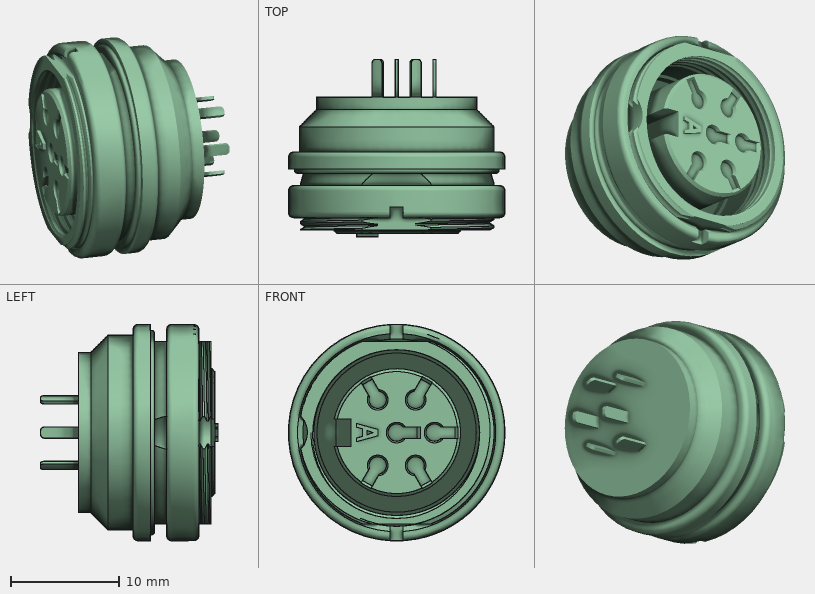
import cadquery as cq
import math


THREAD_R = 9.0
THREAD_END_Y = 4.25
NECK_R = 8.7
FLANGE_R = 10.0
FLANGE_Y = (5.6, 7.2)
BODY_R = 9.0
TAPER_Y = (9.5, 11.1)
REAR_R = 7.4
REAR_Y = 12.25
EDGE_FILLET = 0.5

PITCH = 0.75
OUTER_ROOT_R = 8.6
INNER_ROOT_R = 7.92
OUTER_THREAD_START_Y = -0.83
INNER_THREAD_START_Y = -0.97
OUTER_THREAD_TURNS = 3
INNER_THREAD_TURNS = 6
GROOVE_HALF_ANGLE = math.radians(30)
GROOVE_ROOT_HALF_WIDTH = PITCH / 12
GROOVE_OVERRUN = 0.05

FLAT_Z = 8.42
KEY_GROOVE_R = 2.1
KEY_GROOVE_X = -10.34

SOCKET_R = 15.3 / 2
SOCKET_INNER_R = 14.7 / 2
SOCKET_STEP_Y = 6.2
SOCKET_FLOOR_Y = 7.0

SEAL_R = 18.9 / 2
SEAL_FRONT_Y = 5.22
SEAL_FILLET = 0.3

NUT_R = 10.0
NUT_BORE_R = 8.65
NUT_CHAMFER_R = 18.3 / 2
NUT_Y = (1.12, 4.1)
NOTCH_WIDTH = 1.2
NOTCH_DEPTH = 1.0

INSERT_R = 5.9
INSERT_FACE_Y = -0.35
INSERT_CHAMFER = 0.27
KEYWAY_WIDTH = 2.54
KEYWAY_BOTTOM_X = -4.2
KEYWAY_SHELF_X = -5.6
KEYWAY_SHELF_Y = SOCKET_FLOOR_Y - 0.3

CONTACT_CIRCLE_R = 3.5
CONTACT_ANGLES = (0, 60, 120, 240, 300)
HOLE_R = 0.95
HOLE_FLOOR_R = 0.8
HOLE_DEPTH = 0.5
SLOT_WIDTH = 1.05
SLOT_LENGTH = 2.2
LEAD_IN = 0.3
PIN_WIDTH = 1.05
PIN_THICKNESS = 0.3
PIN_LENGTH = 3.5
PIN_TIP_FILLET = 0.38

MARK_X = (-3.7, -3.15, -1.7)
MARK_HALF_WIDTH = 0.84
MARK_TIP_HALF_WIDTH = 0.29
MARK_STROKE = 0.34
MARK_WINDOW_X = (-2.72, -2.2)
MARK_WINDOW_HALF_WIDTH = 0.2
MARK_HEIGHT = 0.3


def revolve(profile):
    """Turn a closed (radius, y) outline about the Y axis."""
    return cq.Workplane("XY").polyline(profile).close().revolve(360, (0, 0, 0), (0, 1, 0))


def cylinder(radius, y_start, y_end):
    return revolve([(0, y_start), (radius, y_start), (radius, y_end), (0, y_end)])


def box(x_range, y_range, z_range):
    size = [end - start for start, end in (x_range, y_range, z_range)]
    return cq.Workplane("XY").box(*size, centered=False).translate((x_range[0], y_range[0], z_range[0]))


def thread_groove(mouth_r, root_r, start_y, turns):
    """Right-hand helical groove with a narrow flat root about Y, its centre at start_y on the +X side."""
    mouth_r += math.copysign(GROOVE_OVERRUN, mouth_r - root_r)
    mouth_half_width = GROOVE_ROOT_HALF_WIDTH + abs(mouth_r - root_r) * math.tan(GROOVE_HALF_ANGLE)
    path = cq.Wire.makeHelix(PITCH, turns * PITCH, root_r)
    outline = [
        (root_r, -GROOVE_ROOT_HALF_WIDTH),
        (mouth_r, -mouth_half_width),
        (mouth_r, mouth_half_width),
        (root_r, GROOVE_ROOT_HALF_WIDTH),
    ]
    groove = cq.Workplane("XZ").polyline(outline).close().sweep(cq.Workplane(path), isFrenet=True)
    return groove.rotate((0, 0, 0), (1, 0, 0), -90).translate((0, start_y, 0))


def make_shell():
    shell = revolve([
        (0, 0),
        (THREAD_R, 0),
        (THREAD_R, THREAD_END_Y),
        (NECK_R, SEAL_FRONT_Y),
        (NECK_R, FLANGE_Y[0]),
        (BODY_R, FLANGE_Y[0]),
        (BODY_R, TAPER_Y[0]),
        (REAR_R, TAPER_Y[1]),
        (REAR_R, REAR_Y),
        (0, REAR_Y),
    ])
    shell = shell.cut(thread_groove(THREAD_R, OUTER_ROOT_R, OUTER_THREAD_START_Y, OUTER_THREAD_TURNS))
    for side in (-1, 1):
        flat = box((-THREAD_R, THREAD_R), (-1, FLANGE_Y[0]), (FLAT_Z, THREAD_R + 1))
        if side < 0:
            flat = flat.mirror("XY")
        shell = shell.cut(flat)
    key_groove = cylinder(KEY_GROOVE_R, -1, FLANGE_Y[0]).translate((KEY_GROOVE_X, 0, 0))
    shell = shell.cut(key_groove)
    flange = cylinder(FLANGE_R, *FLANGE_Y).faces(">Y").edges().fillet(EDGE_FILLET)
    return shell.union(flange)


def cut_socket(shell):
    socket = cylinder(SOCKET_R, -1, SOCKET_STEP_Y)
    socket = socket.union(cylinder(SOCKET_INNER_R, -1, SOCKET_FLOOR_Y))
    groove = thread_groove(SOCKET_R, INNER_ROOT_R, INNER_THREAD_START_Y, INNER_THREAD_TURNS)
    return shell.cut(socket).cut(groove)


def make_seal():
    seal = cylinder(SEAL_R, SEAL_FRONT_Y, FLANGE_Y[0]).faces("<Y").edges().fillet(SEAL_FILLET)
    return seal.cut(cylinder(SOCKET_R, SEAL_FRONT_Y, FLANGE_Y[0]))


def make_nut():
    front, back = NUT_Y
    nut = cylinder(NUT_R, front, back).edges().fillet(EDGE_FILLET)
    bore_chamfer = NUT_CHAMFER_R - NUT_BORE_R
    nut = nut.cut(revolve([
        (0, front),
        (NUT_CHAMFER_R, front),
        (NUT_BORE_R, front + bore_chamfer),
        (NUT_BORE_R, back - bore_chamfer),
        (NUT_CHAMFER_R, back),
        (0, back),
    ]))
    half_notch = NOTCH_WIDTH / 2
    notches = box((-half_notch, half_notch), (front, front + NOTCH_DEPTH), (-NUT_R, NUT_R))
    return nut.cut(notches)


def at_each_contact(shape):
    """Copy a shape made at the origin, pointing to +X, to every contact position."""
    copies = [shape]
    for angle in CONTACT_ANGLES:
        copies.append(shape.translate((CONTACT_CIRCLE_R, 0, 0)).rotate((0, 0, 0), (0, 1, 0), -angle))
    return copies


def make_contact_opening():
    """Shallow round hole with a tapered mouth, and a slot whose far end has a sloped lead-in."""
    floor_y = INSERT_FACE_Y + HOLE_DEPTH
    lead_in_y = INSERT_FACE_Y + LEAD_IN
    hole = revolve([
        (0, INSERT_FACE_Y),
        (HOLE_R, INSERT_FACE_Y),
        (HOLE_FLOOR_R, lead_in_y),
        (HOLE_FLOOR_R, floor_y),
        (0, floor_y),
    ])
    slot_side = [
        (0, INSERT_FACE_Y),
        (SLOT_LENGTH, INSERT_FACE_Y),
        (SLOT_LENGTH - LEAD_IN, lead_in_y),
        (SLOT_LENGTH - LEAD_IN, floor_y),
        (0, floor_y),
    ]
    slot = cq.Workplane("XY").polyline(slot_side).close().extrude(SLOT_WIDTH / 2, both=True)
    return hole.union(slot)


def make_insert():
    insert = cylinder(INSERT_R, INSERT_FACE_Y, SOCKET_FLOOR_Y).faces("<Y").edges().chamfer(INSERT_CHAMFER)
    half_key = KEYWAY_WIDTH / 2
    key_z = (-half_key, half_key)
    insert = insert.cut(box((-INSERT_R, KEYWAY_SHELF_X), (INSERT_FACE_Y, SOCKET_FLOOR_Y), key_z))
    insert = insert.cut(box((KEYWAY_SHELF_X, KEYWAY_BOTTOM_X), (INSERT_FACE_Y, KEYWAY_SHELF_Y), key_z))
    for opening in at_each_contact(make_contact_opening()):
        insert = insert.cut(opening)
    return insert


def make_pin():
    pin = box(
        (-PIN_THICKNESS / 2, PIN_THICKNESS / 2),
        (REAR_Y, REAR_Y + PIN_LENGTH),
        (-PIN_WIDTH / 2, PIN_WIDTH / 2),
    )
    return pin.faces(">Y").edges("|X").fillet(PIN_TIP_FILLET)


def make_index_mark():
    """A-shaped mark: two converging legs, a cross bar and a triangular window."""
    foot_x, bar_x, tip_x = MARK_X
    slope = (MARK_HALF_WIDTH - MARK_TIP_HALF_WIDTH) / (tip_x - foot_x)
    foot_inner = MARK_HALF_WIDTH - MARK_STROKE
    bar_inner = foot_inner - slope * (bar_x - foot_x)
    outline = [
        (foot_x, MARK_HALF_WIDTH),
        (tip_x, MARK_TIP_HALF_WIDTH),
        (tip_x, -MARK_TIP_HALF_WIDTH),
        (foot_x, -MARK_HALF_WIDTH),
        (foot_x, -foot_inner),
        (bar_x, -bar_inner),
        (bar_x, bar_inner),
        (foot_x, foot_inner),
    ]
    window_base, window_tip = MARK_WINDOW_X
    window = [
        (window_base, MARK_WINDOW_HALF_WIDTH),
        (window_tip, 0),
        (window_base, -MARK_WINDOW_HALF_WIDTH),
    ]
    face = cq.Workplane("XZ", origin=(0, INSERT_FACE_Y, 0))
    return face.polyline(outline).close().polyline(window).close().extrude(MARK_HEIGHT)


result = cut_socket(make_shell())
result = result.union(make_seal()).union(make_nut()).union(make_insert()).union(make_index_mark())
for contact_pin in at_each_contact(make_pin()):
    result = result.union(contact_pin)